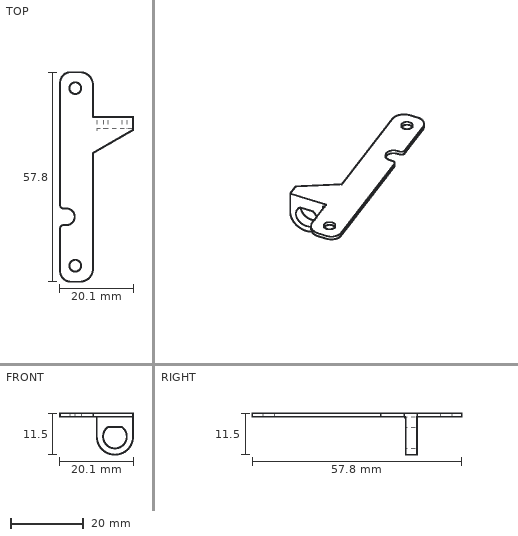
import cadquery as cq
import math

length = 57.75
strip_width = 9.1
thickness = 1.05
left_corner_radius = 3.0
right_corner_radius = 3.65

hole_diameter = 3.2
hole_x = 4.2
hole_end_distance = 4.45

notch_y = 17.9
notch_width = 4.5
notch_depth = 4.05
notch_lip_radius = 1.0

arm_tip_x = 20.15
arm_top_y = 45.4
arm_tip_height = 3.6
arm_taper_angle = 30.0

total_height = 11.5
tab_width = 10.05
tab_thickness = 3.2
tab_root_fillet = 0.5
tab_hole_diameter = 6.45
tab_hole_flat_z = -3.85

tab_radius = tab_width / 2
tab_left_x = arm_tip_x - tab_width
tab_center_x = arm_tip_x - tab_radius
tab_center_z = tab_radius - total_height
tab_front_y = arm_top_y - tab_thickness


def make_strip():
    strip = cq.Workplane("XY").box(strip_width, length, thickness, centered=False)
    strip = strip.edges("|Z and <X").fillet(left_corner_radius)
    strip = strip.edges("|Z and >X").fillet(right_corner_radius)
    return strip.translate((0, 0, -thickness))


def cut_notch(strip):
    round_radius = notch_width / 2
    round_center_x = notch_depth - round_radius
    notch = (
        cq.Workplane("XY", origin=(0, 0, -thickness))
        .moveTo(0, notch_y - round_radius)
        .lineTo(round_center_x, notch_y - round_radius)
        .threePointArc((notch_depth, notch_y), (round_center_x, notch_y + round_radius))
        .lineTo(0, notch_y + round_radius)
        .close()
        .extrude(thickness)
    )
    lip_edges = cq.selectors.BoxSelector(
        (-0.6, notch_y - notch_width, -length), (0.6, notch_y + notch_width, length)
    )
    return strip.cut(notch).edges("|Z").edges(lip_edges).fillet(notch_lip_radius)


def arm_prism(bottom_z, height):
    tip_bottom_y = arm_top_y - arm_tip_height
    taper_drop = (arm_tip_x - strip_width) * math.tan(math.radians(arm_taper_angle))
    root_bottom_y = tip_bottom_y - taper_drop
    return (
        cq.Workplane("XY", origin=(0, 0, bottom_z))
        .moveTo(hole_x, arm_top_y)
        .lineTo(arm_tip_x, arm_top_y)
        .lineTo(arm_tip_x, tip_bottom_y)
        .lineTo(strip_width, root_bottom_y)
        .lineTo(hole_x, root_bottom_y)
        .close()
        .extrude(height)
    )


def make_tab():
    tab_plane = cq.Workplane("XZ", origin=(0, arm_top_y, 0))
    body = (
        tab_plane.moveTo(tab_left_x, -thickness)
        .lineTo(tab_left_x, tab_center_z)
        .threePointArc((tab_center_x, -total_height), (arm_tip_x, tab_center_z))
        .lineTo(arm_tip_x, -thickness)
        .close()
        .extrude(tab_thickness)
    )
    hole_radius = tab_hole_diameter / 2
    flat_rise = tab_hole_flat_z - tab_center_z
    flat_half_width = math.sqrt(hole_radius**2 - flat_rise**2)
    hole = (
        tab_plane.moveTo(tab_center_x - flat_half_width, tab_hole_flat_z)
        .threePointArc(
            (tab_center_x, tab_center_z - hole_radius),
            (tab_center_x + flat_half_width, tab_hole_flat_z),
        )
        .close()
        .extrude(tab_thickness)
    )
    return body.cut(hole)


def make_root_fillet():
    arc_offset = tab_root_fillet * (1 - math.sqrt(0.5))
    fillet = (
        cq.Workplane("YZ", origin=(tab_left_x, 0, 0))
        .moveTo(tab_front_y, -thickness)
        .lineTo(tab_front_y - tab_root_fillet, -thickness)
        .threePointArc(
            (tab_front_y - arc_offset, -thickness - arc_offset),
            (tab_front_y, -thickness - tab_root_fillet),
        )
        .close()
        .extrude(tab_width)
    )
    return fillet.intersect(arm_prism(-total_height, total_height))


plate = cut_notch(make_strip()).union(arm_prism(-thickness, thickness))
mounting_holes = (
    cq.Workplane("XY", origin=(0, 0, -thickness))
    .pushPoints([(hole_x, hole_end_distance), (hole_x, length - hole_end_distance)])
    .circle(hole_diameter / 2)
    .extrude(thickness)
)

result = plate.cut(mounting_holes).union(make_tab()).union(make_root_fillet())